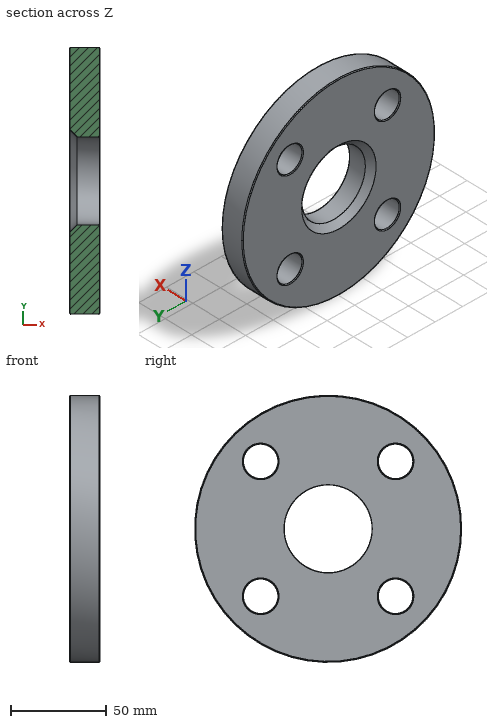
import cadquery as cq

outer_diameter = 140.0
thickness = 16.0
rim_chamfer = 0.5

bore_diameter = 46.0
bore_mouth_diameter = 54.0
bore_cone_depth = (bore_mouth_diameter - bore_diameter) / 2

bolt_count = 4
bolt_circle_diameter = 100.0
bolt_hole_diameter = 18.0
bolt_hole_chamfer = 0.5
first_bolt_angle = 45


def make_disc():
    """Solid disc from X = 0 to X = thickness with both rims chamfered."""
    disc = cq.Workplane("YZ").circle(outer_diameter / 2).extrude(thickness)
    return disc.faces("<X or >X").edges().chamfer(rim_chamfer)


def make_bore():
    """Cutter for the through bore and the cone at its -X mouth."""
    bore = cq.Workplane("YZ").circle(bore_diameter / 2).extrude(thickness)
    cone = cq.Solid.makeCone(
        bore_mouth_diameter / 2,
        bore_diameter / 2,
        bore_cone_depth,
        dir=cq.Vector(1, 0, 0),
    )
    return bore.union(cq.Workplane(cone))


def make_bolt_holes():
    """Cutter for the bolt holes, flared at both ends by the edge chamfer."""
    radius = bolt_hole_diameter / 2
    mouth_radius = radius + bolt_hole_chamfer
    hole = (
        cq.Workplane("XY")
        .lineTo(0, mouth_radius)
        .lineTo(bolt_hole_chamfer, radius)
        .lineTo(thickness - bolt_hole_chamfer, radius)
        .lineTo(thickness, mouth_radius)
        .lineTo(thickness, 0)
        .close()
        .revolve(360, (0, 0, 0), (1, 0, 0))
        .val()
    )
    hole = hole.translate(cq.Vector(0, 0, bolt_circle_diameter / 2))
    holes = cq.Workplane("YZ")
    for index in range(bolt_count):
        angle = first_bolt_angle + index * 360 / bolt_count
        holes = holes.add(hole.rotate(cq.Vector(0, 0, 0), cq.Vector(1, 0, 0), angle))
    return holes.combine()


result = make_disc().cut(make_bore()).cut(make_bolt_holes())